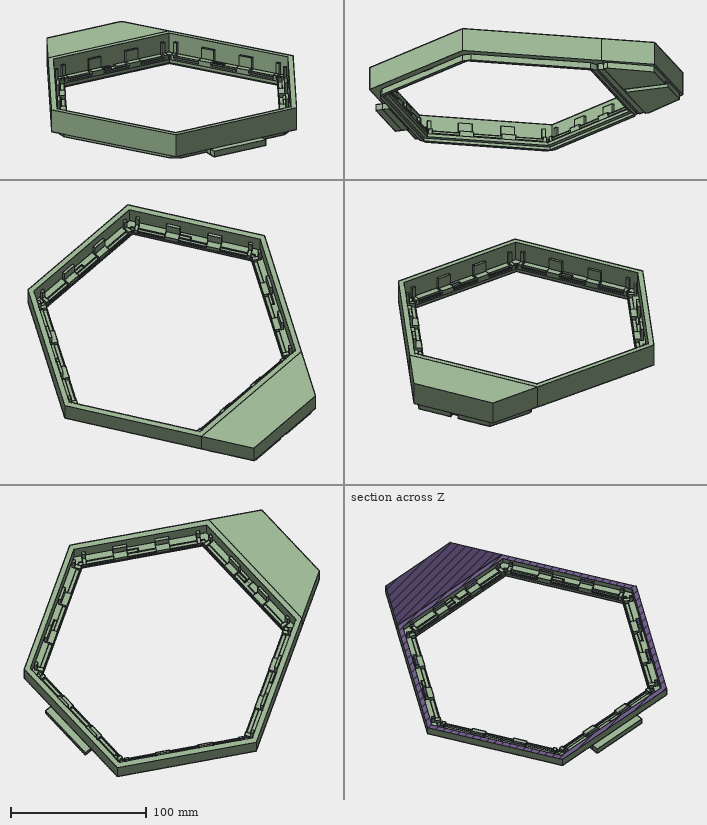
import cadquery as cq
import math

SIDES = 6
SIDE_ANGLE = 360 / SIDES
TOTAL_LENGTH = 221.2
TOTAL_HEIGHT = 22.1
BASE_HEIGHT = 4.6

FRAME_CORNER_RADIUS = 104.6
FRAME_APOTHEM = FRAME_CORNER_RADIUS * math.cos(math.pi / SIDES)
WALL_THICKNESS = 4.0
WALL_INNER_APOTHEM = FRAME_APOTHEM - WALL_THICKNESS
OPENING_APOTHEM = 78.8
FLOOR_TOP = 7.0

LIP_THICKNESS = 0.55
GROOVE_INNER_APOTHEM = OPENING_APOTHEM + LIP_THICKNESS
GROOVE_WIDTH = 2.7
GROOVE_OUTER_APOTHEM = GROOVE_INNER_APOTHEM + GROOVE_WIDTH
GROOVE_DEPTH = 1.5

HOLDER_BACK_APOTHEM = 85.4
HOLDER_PLATE_THICKNESS = 2.0
HOLDER_TOP = 16.8
HOLDER_FOOT_TOP = 8.6
CLIP_WIDTH = 10.5
CLIP_OFFSET = 16.0
POST_WIDTH = 2.7
POST_OFFSET = 43.1

SLIT_WIDTH = 0.7
SLIT_LENGTH = 8.8
SLIT_WALL_DISTANCE = 2.0
SLIT_OUTER_APOTHEM = WALL_INNER_APOTHEM - SLIT_WALL_DISTANCE

CHANNEL_WIDTH = 4.0

RING_INSET = 2.0
RING_APOTHEM = WALL_INNER_APOTHEM - RING_INSET
RING_CORNER_FLAT = 6.6
RING_FOOT_APOTHEM = GROOVE_OUTER_APOTHEM
RING_LEDGE_BOTTOM = 2.2

TAB_LENGTH = 5.3
BOX_LENGTH = TOTAL_LENGTH - 2 * FRAME_APOTHEM - TAB_LENGTH
BOX_BACK_X = -FRAME_APOTHEM
BOX_FRONT_X = BOX_BACK_X - BOX_LENGTH
BOX_BACK_HALF_WIDTH = FRAME_CORNER_RADIUS / 2
BOX_FRONT_HALF_WIDTH = BOX_BACK_HALF_WIDTH - BOX_LENGTH * math.tan(math.pi / SIDES)
BASE_FRONT_INSET = 1.5
BASE_FRONT_HALF_WIDTH = 29.0
BASE_BACK_HALF_WIDTH = 47.5
BASE_END_LENGTH = 3.0
BASE_SLOT_WIDTH = 6.0
BASE_SLOT_HEIGHT = 2.7

STRIP_WIDTH = 4.5
BOX_STRIP_TAPER = STRIP_WIDTH * math.tan(math.pi / SIDES)
TAB_HALF_WIDTH = 22.3
TAB_STRIP_WIDTH = 5.0


def hexagon(apothem, bottom, top, corner_flat=0.0):
    """Hexagonal prism with two sides along Y, its corners cut back to flats of the given width."""
    half_side = apothem * math.tan(math.pi / SIDES)
    setback = corner_flat / 2 / math.cos(math.pi / SIDES)
    points = []
    for i in range(SIDES):
        angle = math.radians(i * SIDE_ANGLE)
        along_ends = (half_side - setback,)
        if corner_flat:
            along_ends = (setback - half_side, half_side - setback)
        for along in along_ends:
            points.append((
                apothem * math.cos(angle) - along * math.sin(angle),
                apothem * math.sin(angle) + along * math.cos(angle),
            ))
    return cq.Workplane("XY").workplane(offset=bottom).polyline(points).close().extrude(top - bottom)


def block(x_range, y_range, z_range):
    """Rectangular block between the given limits."""
    lower = (x_range[0], y_range[0], z_range[0])
    size = (x_range[1] - x_range[0], y_range[1] - y_range[0], z_range[1] - z_range[0])
    return cq.Workplane("XY").box(*size, centered=False).translate(lower)


def symmetric_plate(half_outline, height):
    """Plate on Z = 0, mirrored in Y, from the outline points of its +Y half."""
    mirrored = [(x, -y) for x, y in reversed(half_outline)]
    return cq.Workplane("XY").polyline(half_outline + mirrored).close().extrude(height)


def make_holder(middle, width):
    """Plate and foot on the +X side of the frame."""
    y_range = (middle - width / 2, middle + width / 2)
    plate_range = (HOLDER_BACK_APOTHEM - HOLDER_PLATE_THICKNESS, HOLDER_BACK_APOTHEM)
    plate = block(plate_range, y_range, (BASE_HEIGHT, HOLDER_TOP))
    foot = block((OPENING_APOTHEM, HOLDER_BACK_APOTHEM), y_range, (BASE_HEIGHT, HOLDER_FOOT_TOP))
    return plate.union(foot)


def make_slit():
    """Slit in the floor of the +X side, along the wall from the clip and then across to the groove."""
    start = CLIP_OFFSET - CLIP_WIDTH / 2
    end = start - SLIT_LENGTH
    z_range = (BASE_HEIGHT, FLOOR_TOP)
    along = block((SLIT_OUTER_APOTHEM - SLIT_WIDTH, SLIT_OUTER_APOTHEM), (end, start), z_range)
    across = block((GROOVE_OUTER_APOTHEM, SLIT_OUTER_APOTHEM), (end, end + SLIT_WIDTH), z_range)
    return along.union(across)


def make_frame():
    groove_bottom = FLOOR_TOP - GROOVE_DEPTH
    frame = hexagon(FRAME_APOTHEM, BASE_HEIGHT, TOTAL_HEIGHT)
    frame = frame.cut(hexagon(WALL_INNER_APOTHEM, FLOOR_TOP, TOTAL_HEIGHT))
    frame = frame.cut(hexagon(OPENING_APOTHEM, BASE_HEIGHT, FLOOR_TOP))

    groove = hexagon(GROOVE_OUTER_APOTHEM, groove_bottom, FLOOR_TOP)
    groove = groove.cut(hexagon(GROOVE_INNER_APOTHEM, groove_bottom, FLOOR_TOP))
    frame = frame.cut(groove)

    channel = block(
        (-WALL_INNER_APOTHEM, -GROOVE_OUTER_APOTHEM),
        (-CHANNEL_WIDTH / 2, CHANNEL_WIDTH / 2),
        (groove_bottom, FLOOR_TOP),
    )
    frame = frame.cut(channel)

    for i in range(SIDES):
        angle = i * SIDE_ANGLE
        frame = frame.cut(make_slit().rotate((0, 0, 0), (0, 0, 1), angle))
        for offset, width in ((CLIP_OFFSET, CLIP_WIDTH), (POST_OFFSET, POST_WIDTH)):
            for middle in (-offset, offset):
                frame = frame.union(make_holder(middle, width).rotate((0, 0, 0), (0, 0, 1), angle))
    return frame


def make_ring():
    """Ring with a ledge that reaches in to the opening of the frame."""
    ring = hexagon(RING_APOTHEM, 0, BASE_HEIGHT, RING_CORNER_FLAT)
    ring = ring.cut(hexagon(RING_FOOT_APOTHEM, 0, RING_LEDGE_BOTTOM))
    return ring.cut(hexagon(OPENING_APOTHEM, RING_LEDGE_BOTTOM, BASE_HEIGHT))


def make_box():
    outline = [(BOX_FRONT_X, BOX_FRONT_HALF_WIDTH), (BOX_BACK_X, BOX_BACK_HALF_WIDTH)]
    return symmetric_plate(outline, TOTAL_HEIGHT - BASE_HEIGHT).translate((0, 0, BASE_HEIGHT))


def make_base():
    """Base of the box, with a slot along its underside."""
    front_x = BOX_FRONT_X + BASE_FRONT_INSET
    outline = [
        (front_x, BASE_FRONT_HALF_WIDTH),
        (BOX_BACK_X - BASE_END_LENGTH, BASE_BACK_HALF_WIDTH),
        (BOX_BACK_X, BASE_BACK_HALF_WIDTH),
    ]
    slot_y = (-BASE_SLOT_WIDTH / 2, BASE_SLOT_WIDTH / 2)
    slot = block((front_x, BOX_BACK_X), slot_y, (0, BASE_SLOT_HEIGHT))
    return symmetric_plate(outline, BASE_HEIGHT).cut(slot)


def make_box_strip():
    """Strip below the frame wall, behind the base of the box."""
    outline = [
        (BOX_BACK_X, BASE_BACK_HALF_WIDTH - BOX_STRIP_TAPER),
        (BOX_BACK_X + STRIP_WIDTH, BASE_BACK_HALF_WIDTH),
    ]
    return symmetric_plate(outline, BASE_HEIGHT)


def make_tab_strip():
    """Strip below the frame wall, behind the tab."""
    return block(
        (FRAME_APOTHEM - TAB_STRIP_WIDTH, FRAME_APOTHEM),
        (-TAB_HALF_WIDTH, TAB_HALF_WIDTH),
        (0, BASE_HEIGHT),
    )


def make_tab():
    return block(
        (FRAME_APOTHEM, FRAME_APOTHEM + TAB_LENGTH),
        (-TAB_HALF_WIDTH, TAB_HALF_WIDTH),
        (0, BASE_HEIGHT),
    )


frame = make_frame()
ring = make_ring()
box = make_box()
base = make_base()
box_strip = make_box_strip()
tab_strip = make_tab_strip()
tab = make_tab()

result = cq.Compound.makeCompound([
    frame.val(),
    ring.val(),
    box.val(),
    base.val(),
    box_strip.val(),
    tab_strip.val(),
    tab.val(),
])